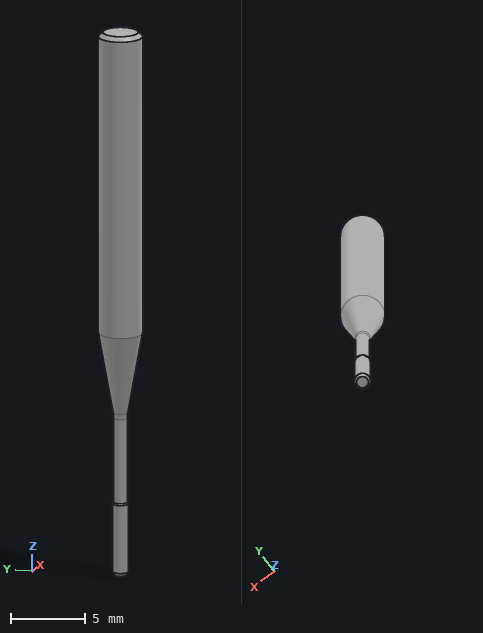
import cadquery as cq
import math

total_length = 38.0

head_diameter = 1.1
head_length = 5.0
tip_chamfer_width = 0.15
tip_chamfer_height = 0.25

shank_diameter = 3.0
shank_chamfer = 0.3
neck_diameter = 0.95
collar_height = 0.1
neck_top = 11.02
blend_height = 0.38
cone_top = 17.0

head_radius = head_diameter / 2
shank_radius = shank_diameter / 2
neck_radius = neck_diameter / 2


def make_cutting_head():
    """Plain cylinder with a steep chamfer at the tip."""
    return (
        cq.Workplane("XZ")
        .lineTo(head_radius - tip_chamfer_width, 0)
        .lineTo(head_radius, tip_chamfer_height)
        .lineTo(head_radius, head_length)
        .lineTo(0, head_length)
        .close()
        .revolve(360, (0, 0), (0, 1))
    )


def make_shank():
    """Revolved neck, cone and chamfered shank, standing on the cutting head."""
    cone_corner = neck_top + blend_height / 2
    cone_angle = math.atan2(shank_radius - neck_radius, cone_top - cone_corner)
    blend_radius = blend_height / math.sin(cone_angle)

    def blend_point(angle):
        return (
            neck_radius + blend_radius * (1 - math.cos(angle)),
            neck_top + blend_radius * math.sin(angle),
        )

    return (
        cq.Workplane("XZ")
        .moveTo(0, head_length)
        .lineTo(head_radius, head_length)
        .lineTo(neck_radius, head_length + collar_height)
        .lineTo(neck_radius, neck_top)
        .threePointArc(blend_point(cone_angle / 2), blend_point(cone_angle))
        .lineTo(shank_radius, cone_top)
        .lineTo(shank_radius, total_length - shank_chamfer)
        .lineTo(shank_radius - shank_chamfer, total_length)
        .lineTo(0, total_length)
        .close()
        .revolve(360, (0, 0), (0, 1))
    )


cutting_head = make_cutting_head()
shank = make_shank()

result = cq.Compound.makeCompound([cutting_head.val(), shank.val()])